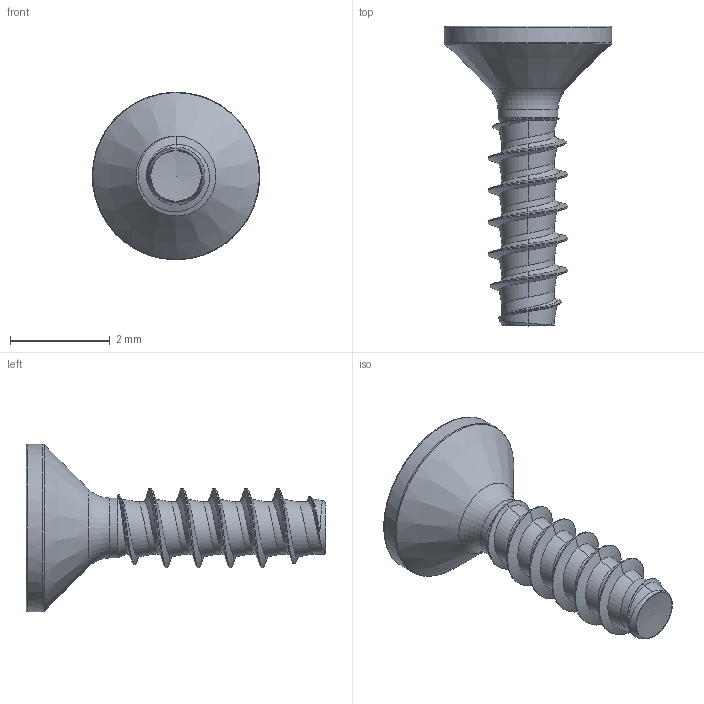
import math

import cadquery as cq


total_length = 6.0
head_diameter = 3.35
head_radius = head_diameter / 2
rim_depth = 0.35
rim_edge_fillet = 0.03
shank_radius = 0.6
neck_fillet = 0.6
countersink_angle = math.radians(45)

core_radius = 0.525
thread_start_depth = 1.83
core_start_depth = 2.02
tip_radius = 0.515
tip_taper_depth = 5.84
tip_taper_radius = 0.6
dish_radius = 0.505
dish_depth = 0.03

pitch = 0.64
crest_radius = 0.8
crest_half_width = 0.012
flank_kink_radius = 0.63
flank_kink_offset = 0.048
head_flank_width = 0.133
tip_flank_width = 0.083
ramp_radius = 0.58
ramp_end_offset = 0.38
buried_radius = 0.4
base_overlap = 0.005
faded_crest_radius = 0.59
start_fade_per_turn = 0.13
end_fade_per_turn = 0.17
first_crest_at_top = 1.846
fade_in_turns = 1
full_crest_turns = 4
full_crest_start = first_crest_at_top + fade_in_turns * pitch
full_crest_end = full_crest_start + full_crest_turns * pitch
lead_in_turns = 0.25
whole_turns = 7
sections_per_turn = 16


def make_head_and_shank():
    """Head, neck fillet, shank and the cone down to the core, revolved about Y."""
    neck_drop = neck_fillet * (1 - math.cos(countersink_angle))
    neck_run = neck_fillet * math.sin(countersink_angle)
    cone_end_radius = shank_radius + neck_drop
    cone_end_depth = rim_depth + (head_radius - cone_end_radius) / math.tan(countersink_angle)
    neck_end_depth = cone_end_depth + neck_run
    half_angle = countersink_angle / 2
    neck_mid = (
        -neck_end_depth + neck_fillet * math.sin(half_angle),
        shank_radius + neck_fillet * (1 - math.cos(half_angle)),
    )
    outline = (
        cq.Workplane("YZ")
        .lineTo(0, head_radius)
        .lineTo(-rim_depth, head_radius)
        .lineTo(-cone_end_depth, cone_end_radius)
        .threePointArc(neck_mid, (-neck_end_depth, shank_radius))
        .lineTo(-thread_start_depth, shank_radius)
        .lineTo(-core_start_depth, core_radius)
        .lineTo(-core_start_depth, 0)
        .close()
    )
    body = outline.revolve(360, (0, 0, 0), (1, 0, 0))
    rim_edges = body.edges(cq.selectors.RadiusNthSelector(-1))
    return rim_edges.fillet(rim_edge_fillet)


def crest_radius_at(depth):
    """Crest radius, fading out linearly at both ends of the thread."""
    start_fade = start_fade_per_turn * max(full_crest_start - depth, 0) / pitch
    end_fade = end_fade_per_turn * max(depth - full_crest_end, 0) / pitch
    return max(crest_radius - start_fade - end_fade, faded_crest_radius)


def thread_section(depth):
    """Thread outline in the half-plane through the axis that the helix meets at this depth.

    The tooth of the lead-in is shifted to stay just clear of the shank; its ramp is not.
    """
    local_crest = crest_radius_at(depth)
    fullness = (local_crest - core_radius) / (crest_radius - core_radius)
    kink_radius = core_radius + fullness * (flank_kink_radius - core_radius)
    tooth_shift = max(first_crest_at_top - depth, 0)
    head_base = tooth_shift - head_flank_width * fullness - base_overlap
    kink = tooth_shift - flank_kink_offset * fullness
    crest_start = tooth_shift - crest_half_width * fullness
    crest_end = tooth_shift + crest_half_width * fullness
    ramp_start = tooth_shift + tip_flank_width * fullness
    ramp_slope = (ramp_end_offset - tip_flank_width * fullness) / (ramp_radius - core_radius)
    tip_base = ramp_end_offset + base_overlap * ramp_slope
    base_radius = core_radius - base_overlap
    profile = [
        (buried_radius, head_base),
        (base_radius, head_base),
        (kink_radius, kink),
        (local_crest, crest_start),
        (local_crest, crest_end),
        (ramp_radius, ramp_start),
        (base_radius, tip_base),
        (buried_radius, tip_base),
    ]
    turn = 2 * math.pi * (depth - first_crest_at_top) / pitch
    points = [
        cq.Vector(-radius * math.sin(turn), -(depth + offset), radius * math.cos(turn))
        for radius, offset in profile
    ]
    return cq.Wire.makePolygon(points, close=True)


def thread_stretch(start_depth, turns):
    """Stretch of thread, lofted through sections from this depth onwards."""
    step = pitch / sections_per_turn
    count = round(turns * sections_per_turn)
    sections = [thread_section(start_depth + i * step) for i in range(count + 1)]
    return cq.Workplane(obj=cq.Solid.makeLoft(sections))


def make_trim_envelope():
    """Solid of revolution that bounds the threaded zone, with a tapered, dished tip."""
    trim_radius = 2 * crest_radius
    dish_sphere_radius = (dish_radius**2 + dish_depth**2) / (2 * dish_depth)
    dish_centre_depth = total_length - dish_depth + dish_sphere_radius
    dish_mid_radius = dish_radius / 2
    dish_mid_depth = dish_centre_depth - math.sqrt(dish_sphere_radius**2 - dish_mid_radius**2)
    return (
        cq.Workplane("YZ")
        .moveTo(-thread_start_depth, 0)
        .lineTo(-thread_start_depth, trim_radius)
        .lineTo(-tip_taper_depth, trim_radius)
        .lineTo(-tip_taper_depth, tip_taper_radius)
        .lineTo(-total_length, tip_radius)
        .lineTo(-total_length, dish_radius)
        .threePointArc((-dish_mid_depth, dish_mid_radius), (dish_depth - total_length, 0))
        .close()
        .revolve(360, (0, 0, 0), (1, 0, 0))
    )


def make_threaded_zone():
    """Lead-in and whole turns of thread on a plain core, trimmed at the shank and at the tip."""
    untrimmed_length = total_length + 2 * pitch
    lead_in_depth = first_crest_at_top - lead_in_turns * pitch
    zone = cq.Workplane("XZ").circle(core_radius).extrude(untrimmed_length)
    zone = zone.union(thread_stretch(lead_in_depth, lead_in_turns))
    for turn in range(whole_turns):
        zone = zone.union(thread_stretch(first_crest_at_top + turn * pitch, 1))
    return zone.intersect(make_trim_envelope())


result = make_head_and_shank().union(make_threaded_zone()).solids()